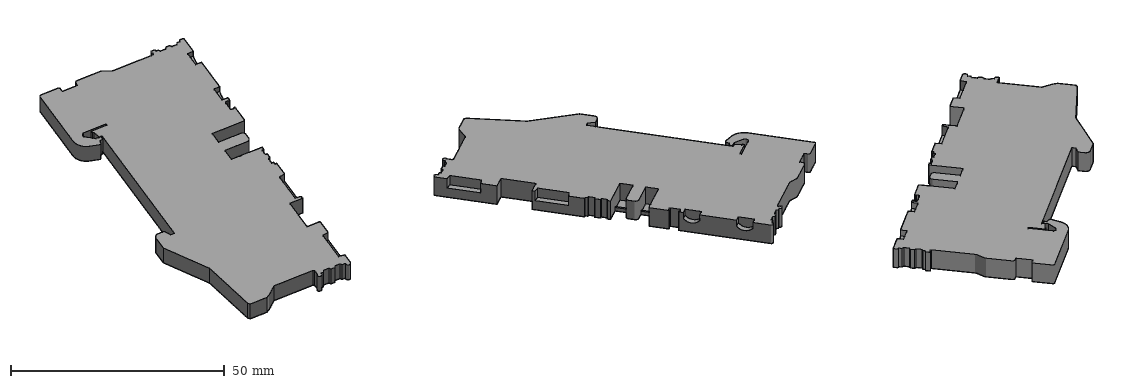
import cadquery as cq
import math

LENGTH = 82.3
HEIGHT = 38.5
THICKNESS = 5.1

LIP_WIDTH = 1.2
UPPER_LIP_BOTTOM = HEIGHT - LIP_WIDTH
LOWER_LIP_TOP = 30.9
LOWER_LIP_BOTTOM = LOWER_LIP_TOP - LIP_WIDTH
GRIP_STEP = 0.5
LEFT_GRIP_X = 0.5
RIGHT_GRIP_X = LENGTH - 0.8
GRIP_GROOVES = [(36.5, 34.5), (33.5, 31.4)]
GRIP_SLOPE = 0.3
LIP_ROUND = 0.3
LEFT_SIDE_X = 1.2
RIGHT_SIDE_X = LENGTH - 2.5
SIDE_TOP = LOWER_LIP_BOTTOM + 0.25
SIDE_TOP_CHAMFER = 0.25

SHOULDER_TOP = 18.85
SHOULDER_BOTTOM = 16.6
SIDE_NOTCH_TOP = 9.5
SIDE_NOTCH_BOTTOM = 5.4
SIDE_NOTCH_DEPTH = 1.4
SLIT_LEFT = 15.5
SLIT_RIGHT = 15.9
RAIL_SEAT_Y = 6.75
HOOK_TIP_GAP = 0.25
HOOK_BARB_X = 20.65
HOOK_BARB_Y = 5.1

RAIL_SEAT_RIGHT = 53.9
RAIL_FOOT_LEFT = 52.2
RAIL_FOOT_BOTTOM = 2.2

WIDE_SLOT_LEFT = 58.35
WIDE_SLOT_RIGHT = 66.8
WIDE_SLOT_BOTTOM = 35.1
LEDGE_TOP = 38.0
TICK_DEPTH = 0.5
TICK_SPANS = [(40.25, 41.8), (43.3, 44.9)]
LEDGE_RIGHT = 45.6
KEY_SLOT_BOTTOM = 37.3
KEY_MOUTH_LEFT = 22.8
KEY_MOUTH_RIGHT = 25.1
KEY_UNDERCUT = 0.25

WELL_LEFT = 30.0
WELL_RIGHT = 39.4
WELL_TOP_Y = 34.1
WELL_WALL = 0.5
WELL_BOTTOM_Y = 29.8
WELL_SILL_Z = 1.0
WELL_FLOOR_Z = 0.5
POST_LEFT = 33.2
POST_RIGHT = 36.2
POST_TOP = 36.6
POST_ROUND = 0.8

CORNER_ROUNDS = [
    (WELL_LEFT, HEIGHT, LIP_ROUND),
    (0, HEIGHT, LIP_ROUND),
    (0, UPPER_LIP_BOTTOM, LIP_ROUND),
    (0, LOWER_LIP_TOP, LIP_ROUND),
    (0, LOWER_LIP_BOTTOM, LIP_ROUND),
    (LEFT_SIDE_X, SHOULDER_TOP, 1.0),
    (0, SHOULDER_BOTTOM, 1.3),
    (0, SIDE_NOTCH_TOP, 0.65),
    (0, SIDE_NOTCH_BOTTOM, 0.4),
    (0, 0, 0.5),
    (HOOK_BARB_X, HOOK_BARB_Y, 0.2),
]

POCKET_LENGTH = 1.6
POCKET_DEPTH = THICKNESS / 2
ROUND_POCKET_CENTERS = [6.75, 19.7]
ROUND_POCKET_WIDTH = 3.95
POCKET_FLOOR_RADIUS = THICKNESS / 2
TAPER_POCKET_CENTERS = [53.6, 74.9]
TAPER_POCKET_WIDTH = 8.15
POCKET_TAPER = 0.25


def grip_points(outer_x, inward):
    """Points down one stepped grip; inward is +1 on the left edge and -1 on the right."""
    points = [(outer_x, UPPER_LIP_BOTTOM)]
    for groove_top, groove_bottom in GRIP_GROOVES:
        groove_x = outer_x + inward * GRIP_STEP
        points += [(outer_x, groove_top), (groove_x, groove_top - GRIP_SLOPE)]
        points += [(groove_x, groove_bottom + GRIP_SLOPE), (outer_x, groove_bottom)]
    points.append((outer_x, LOWER_LIP_TOP))
    return points


def trace(sketch, points):
    for x, y in points:
        sketch = sketch.lineTo(x, y)
    return sketch


def draw_left_side(sketch):
    sketch = trace(sketch, [(0, HEIGHT), (0, UPPER_LIP_BOTTOM)])
    sketch = trace(sketch, grip_points(LEFT_GRIP_X, 1))
    return trace(sketch, [
        (0, LOWER_LIP_TOP),
        (0, LOWER_LIP_BOTTOM),
        (LEFT_GRIP_X, LOWER_LIP_BOTTOM),
        (LEFT_GRIP_X + SIDE_TOP_CHAMFER, SIDE_TOP),
        (LEFT_SIDE_X - SIDE_TOP_CHAMFER, SIDE_TOP),
        (LEFT_SIDE_X, SIDE_TOP - SIDE_TOP_CHAMFER),
        (LEFT_SIDE_X, SHOULDER_TOP),
        (0, SHOULDER_BOTTOM),
        (0, SIDE_NOTCH_TOP),
        (SIDE_NOTCH_DEPTH, SIDE_NOTCH_TOP),
        (SIDE_NOTCH_DEPTH, SIDE_NOTCH_BOTTOM),
        (0, SIDE_NOTCH_BOTTOM),
    ])


def draw_foot_and_hook(sketch):
    sketch = trace(sketch, [(0, 0), (16.5, 0)])
    sketch = sketch.threePointArc((18.5, 0.65), (19.8, 2.4))
    sketch = trace(sketch, [
        (HOOK_BARB_X, HOOK_BARB_Y),
        (20.3, 5.4),
        (19.5, 5.7),
        (19.3, RAIL_SEAT_Y - HOOK_TIP_GAP),
        (18.5, RAIL_SEAT_Y - HOOK_TIP_GAP),
        (18.4, 5.1),
        (16.9, 3.2),
    ])
    sketch = sketch.threePointArc((16.1, 2.9), (SLIT_LEFT, 3.4))
    return trace(sketch, [
        (SLIT_LEFT, SIDE_NOTCH_TOP),
        (SLIT_RIGHT, SIDE_NOTCH_TOP),
        (SLIT_RIGHT, 5.3),
        (16.4, 5.3),
        (16.55, 5.6),
        (18.35, 6.0),
        (18.35, RAIL_SEAT_Y),
    ])


def draw_underside(sketch):
    sketch = trace(sketch, [
        (RAIL_SEAT_RIGHT, RAIL_SEAT_Y),
        (RAIL_SEAT_RIGHT, 5.8),
        (RAIL_FOOT_LEFT, 4.9),
        (RAIL_FOOT_LEFT, 3.1),
    ])
    sketch = sketch.threePointArc((52.5, 2.55), (53.6, RAIL_FOOT_BOTTOM))
    return trace(sketch, [(56.8, RAIL_FOOT_BOTTOM), (67.7, 8.65), (81.8, 11.1), (LENGTH, 11.5)])


def draw_right_side(sketch):
    lip_radius = LIP_WIDTH / 2
    lip_x = LENGTH - lip_radius
    sketch = trace(sketch, [
        (LENGTH, 16.0),
        (81.7, 16.95),
        (RIGHT_SIDE_X, 19.2),
        (RIGHT_SIDE_X, SIDE_TOP - SIDE_TOP_CHAMFER),
        (RIGHT_SIDE_X + SIDE_TOP_CHAMFER, SIDE_TOP),
        (RIGHT_GRIP_X, SIDE_TOP),
        (lip_x, LOWER_LIP_BOTTOM),
    ])
    sketch = sketch.threePointArc((LENGTH, LOWER_LIP_BOTTOM + lip_radius), (lip_x, LOWER_LIP_TOP))
    sketch = trace(sketch, reversed(grip_points(RIGHT_GRIP_X, -1)))
    sketch = sketch.lineTo(lip_x, UPPER_LIP_BOTTOM)
    return sketch.threePointArc((LENGTH, HEIGHT - lip_radius), (lip_x, HEIGHT))


def draw_top_edge(sketch):
    sketch = trace(sketch, [
        (WIDE_SLOT_RIGHT, HEIGHT),
        (WIDE_SLOT_RIGHT, WIDE_SLOT_BOTTOM),
        (WIDE_SLOT_LEFT, WIDE_SLOT_BOTTOM),
        (WIDE_SLOT_LEFT, HEIGHT),
        (LEDGE_RIGHT, HEIGHT),
        (LEDGE_RIGHT, LEDGE_TOP),
    ])
    for tick_left, tick_right in reversed(TICK_SPANS):
        tick_bottom = LEDGE_TOP - TICK_DEPTH
        sketch = trace(sketch, [(tick_right, LEDGE_TOP), (tick_right, tick_bottom)])
        sketch = trace(sketch, [(tick_left, tick_bottom), (tick_left, LEDGE_TOP)])
    return trace(sketch, [
        (WELL_RIGHT, LEDGE_TOP),
        (WELL_RIGHT, WELL_TOP_Y),
        (WELL_LEFT, WELL_TOP_Y),
        (WELL_LEFT, HEIGHT),
        (KEY_MOUTH_RIGHT, HEIGHT),
        (KEY_MOUTH_RIGHT, HEIGHT - KEY_UNDERCUT),
        (KEY_MOUTH_RIGHT + KEY_UNDERCUT, HEIGHT - 2 * KEY_UNDERCUT),
        (KEY_MOUTH_RIGHT + KEY_UNDERCUT, KEY_SLOT_BOTTOM + KEY_UNDERCUT),
        (KEY_MOUTH_RIGHT, KEY_SLOT_BOTTOM),
        (KEY_MOUTH_LEFT, KEY_SLOT_BOTTOM),
        (KEY_MOUTH_LEFT - KEY_UNDERCUT, KEY_SLOT_BOTTOM + KEY_UNDERCUT),
        (KEY_MOUTH_LEFT - KEY_UNDERCUT, HEIGHT - 2 * KEY_UNDERCUT),
        (KEY_MOUTH_LEFT, HEIGHT - KEY_UNDERCUT),
        (KEY_MOUTH_LEFT, HEIGHT),
    ])


def make_plate():
    sketch = cq.Workplane("XY").moveTo(KEY_MOUTH_LEFT, HEIGHT)
    sketch = draw_left_side(sketch)
    sketch = draw_foot_and_hook(sketch)
    sketch = draw_underside(sketch)
    sketch = draw_right_side(sketch)
    sketch = draw_top_edge(sketch)
    plate = sketch.close().extrude(THICKNESS)
    for x, y, radius in CORNER_ROUNDS:
        corner = cq.selectors.NearestToPointSelector((x, y, THICKNESS / 2))
        plate = plate.edges(corner).fillet(radius)
    return plate


def cut_block(x_left, x_right, y_bottom, y_top, z_bottom):
    """Block reaching from z_bottom up to the upper broad face."""
    size = (x_right - x_left, y_top - y_bottom, THICKNESS - z_bottom)
    return cq.Workplane("XY").box(*size, centered=False).translate((x_left, y_bottom, z_bottom))


def make_post():
    post = cut_block(POST_LEFT, POST_RIGHT, WELL_BOTTOM_Y, POST_TOP, 0)
    return post.edges("|Z and >Y").fillet(POST_ROUND)


def cut_well(body):
    """Sink the well to its sill, deepen it behind the sill, then stand the post in it."""
    sill_inner_y = WELL_TOP_Y - WELL_WALL
    body = body.cut(cut_block(WELL_LEFT, WELL_RIGHT, WELL_BOTTOM_Y, WELL_TOP_Y, WELL_SILL_Z))
    body = body.cut(cut_block(WELL_LEFT, WELL_RIGHT, WELL_BOTTOM_Y, sill_inner_y, WELL_FLOOR_Z))
    return body.union(make_post())


def round_pocket(center_x):
    """Straight-sided pocket whose floor is a trough along Y."""
    half_width = ROUND_POCKET_WIDTH / 2
    floor_rise = POCKET_FLOOR_RADIUS - math.sqrt(POCKET_FLOOR_RADIUS**2 - half_width**2)
    return (
        cq.Workplane("XZ", origin=(center_x, HEIGHT, THICKNESS))
        .moveTo(-half_width, 0)
        .lineTo(-half_width, floor_rise - POCKET_DEPTH)
        .threePointArc((0, -POCKET_DEPTH), (half_width, floor_rise - POCKET_DEPTH))
        .lineTo(half_width, 0)
        .close()
        .extrude(POCKET_LENGTH)
    )


def taper_pocket(center_x):
    """Flat-floored pocket that widens towards the top edge."""
    half_width = TAPER_POCKET_WIDTH / 2
    inner_half_width = half_width - POCKET_TAPER
    return (
        cq.Workplane("XY", origin=(center_x, HEIGHT, THICKNESS))
        .moveTo(-half_width, 0)
        .lineTo(half_width, 0)
        .lineTo(inner_half_width, -POCKET_LENGTH)
        .lineTo(-inner_half_width, -POCKET_LENGTH)
        .close()
        .extrude(-POCKET_DEPTH)
    )


result = cut_well(make_plate())
for pocket_x in ROUND_POCKET_CENTERS:
    result = result.cut(round_pocket(pocket_x))
for pocket_x in TAPER_POCKET_CENTERS:
    result = result.cut(taper_pocket(pocket_x))